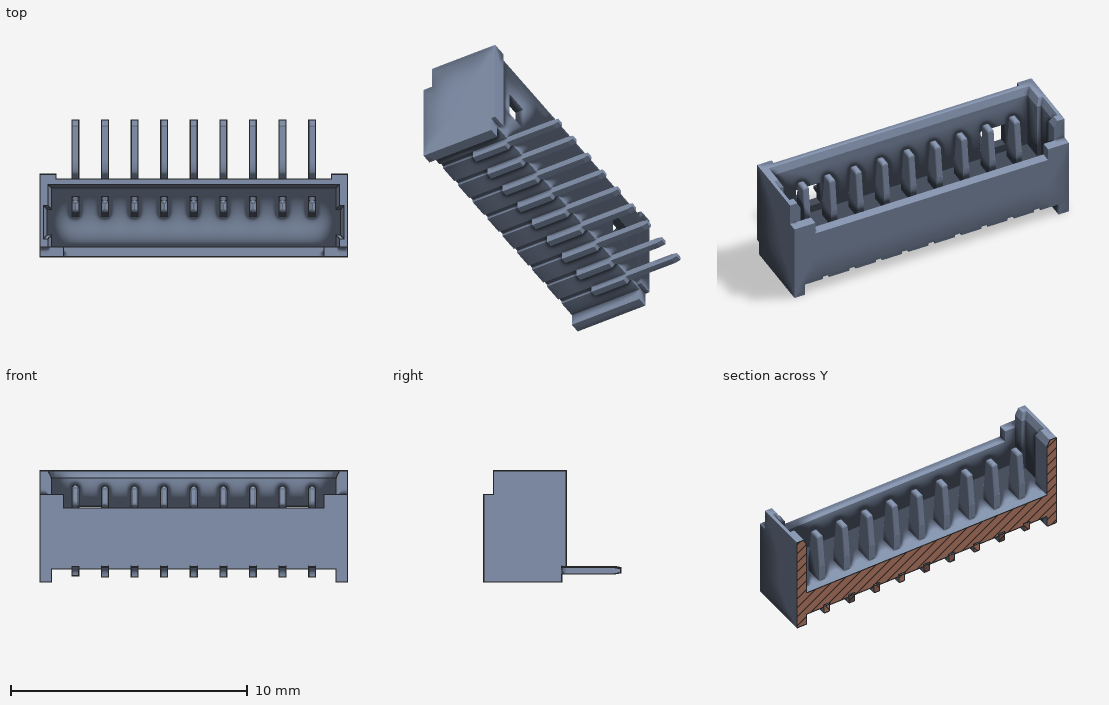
import cadquery as cq

LENGTH = 13.0
HEIGHT = 4.7
BODY_DEPTH = 3.3
END_WALL = 0.5
FRONT_WALL = 0.42
BACK_WALL = 0.39
FLOOR_TOP = 1.74
UNDERSIDE = 0.55

LIP_HEIGHT = 3.13
CORNER_HEIGHT = 3.7
CORNER_WIDTH = 0.99

RIB_WIDTH = 0.69
RIB_DEPTH = 0.2

KEYWAY_DEPTH = 0.2
KEYWAY_FRONT = 0.92
KEYWAY_BACK = 2.02
LEAD_IN_WIDTH = 0.15
LEAD_IN_HEIGHT = 0.31

WINDOW_WIDTH = 1.17
WINDOW_BOTTOM = 2.1
WINDOW_TOP = 3.2

PIN_COUNT = 9
PITCH = 1.25
PIN_WIDTH = 0.3
FIRST_PIN_LIFT = 0.05

BLADE_FRONT = 1.7
BLADE_BACK = 2.56
BLADE_SHOULDER = 2.52
BLADE_TOP = 4.05
BLADE_TAPER = 0.18
BLADE_EDGE_RADIUS = 0.05
BLADE_TIP_RADIUS = 0.14

TAIL_END = 5.8
TAIL_TOP = 0.61
TAIL_BOTTOM = 0.34
TAIL_TIP_LENGTH = 0.27
TAIL_TIP_TAPER = 0.05

FOOT_BOTTOM = 0.21
FOOT_TOE = 0.08
FOOT_SLOPE = 0.1

SLOT_ROOF = TAIL_TOP + FIRST_PIN_LIFT
PIN_XS = [(i - (PIN_COUNT - 1) / 2) * PITCH for i in range(PIN_COUNT)]


def block(x_min, x_max, y_min, y_max, z_min, z_max):
    """Box given by its limits along each axis."""
    size = (x_max - x_min, y_max - y_min, z_max - z_min)
    return cq.Workplane("XY").box(*size, centered=False).translate((x_min, y_min, z_min))


def cavity_outline(spread):
    """Plan of the cavity with its end keyways, pushed outward by `spread` on every side."""
    wall_x = LENGTH / 2 - END_WALL + spread
    key_x = wall_x + KEYWAY_DEPTH
    front = FRONT_WALL - spread
    back = BODY_DEPTH - BACK_WALL + spread
    key_front = KEYWAY_FRONT - spread
    key_back = KEYWAY_BACK + spread
    right_side = [
        (wall_x, front),
        (wall_x, key_front),
        (key_x, key_front),
        (key_x, key_back),
        (wall_x, key_back),
        (wall_x, back),
    ]
    left_side = [(-x, y) for x, y in reversed(right_side)]
    return right_side + left_side


def make_cavity():
    chamfer_start = HEIGHT - LEAD_IN_HEIGHT
    well = (
        cq.Workplane("XY", origin=(0, 0, FLOOR_TOP))
        .polyline(cavity_outline(0)).close()
        .extrude(HEIGHT - FLOOR_TOP)
    )
    lead_in = (
        cq.Workplane("XY", origin=(0, 0, chamfer_start))
        .polyline(cavity_outline(0)).close()
        .workplane(offset=LEAD_IN_HEIGHT)
        .polyline(cavity_outline(LEAD_IN_WIDTH)).close()
        .loft(ruled=True)
    )
    return well.union(lead_in)


def make_housing():
    half = LENGTH / 2
    housing = block(-half, half, 0, BODY_DEPTH, 0, HEIGHT)

    for rib_x in (-half, half - RIB_WIDTH):
        rib = block(rib_x, rib_x + RIB_WIDTH, BODY_DEPTH, BODY_DEPTH + RIB_DEPTH, SLOT_ROOF, HEIGHT)
        housing = housing.union(rib)

    lip_end = half - CORNER_WIDTH
    housing = housing.cut(block(-half, half, 0, FRONT_WALL, CORNER_HEIGHT, HEIGHT))
    housing = housing.cut(block(-lip_end, lip_end, 0, FRONT_WALL, LIP_HEIGHT, CORNER_HEIGHT))

    housing = housing.cut(make_cavity())

    foot_x = half - END_WALL
    housing = housing.cut(block(-foot_x, foot_x, 0, BODY_DEPTH, 0, UNDERSIDE))

    window_x = PIN_XS[-1] - PITCH / 2
    for centre in (-window_x, window_x):
        left = centre - WINDOW_WIDTH / 2
        window = block(
            left, left + WINDOW_WIDTH,
            BODY_DEPTH - BACK_WALL, BODY_DEPTH,
            WINDOW_BOTTOM, WINDOW_TOP,
        )
        housing = housing.cut(window)

    for pin_x in PIN_XS:
        left = pin_x - PIN_WIDTH / 2
        right = pin_x + PIN_WIDTH / 2
        housing = housing.cut(block(left, right, 0, BODY_DEPTH, UNDERSIDE, SLOT_ROOF))
        housing = housing.cut(block(left, right, BLADE_FRONT, BLADE_BACK, SLOT_ROOF, FLOOR_TOP))
    return housing


def make_blade_tip():
    """Tapered upper part of a blade, with rounded long edges and a rounded end."""
    middle = (BLADE_FRONT + BLADE_BACK) / 2
    base_depth = BLADE_BACK - BLADE_FRONT
    return (
        cq.Workplane("XY", origin=(0, middle, BLADE_SHOULDER))
        .rect(PIN_WIDTH, base_depth)
        .workplane(offset=BLADE_TOP - BLADE_SHOULDER)
        .rect(PIN_WIDTH, base_depth - 2 * BLADE_TAPER)
        .loft(ruled=True)
        .faces(">Z").edges().fillet(BLADE_TIP_RADIUS)
        .faces("<X or >X").edges("<Y or >Y").fillet(BLADE_EDGE_RADIUS)
    )


def make_pin():
    """One flat pin centred on X = 0: foot, blade and tail in one profile, plus the blade tip."""
    tip_start = TAIL_END - TAIL_TIP_LENGTH
    profile = [
        (BLADE_FRONT - FOOT_TOE, FOOT_BOTTOM),
        (BODY_DEPTH - FOOT_SLOPE, FOOT_BOTTOM),
        (BODY_DEPTH, TAIL_BOTTOM),
        (tip_start, TAIL_BOTTOM),
        (TAIL_END, TAIL_BOTTOM + TAIL_TIP_TAPER),
        (TAIL_END, TAIL_TOP - TAIL_TIP_TAPER),
        (tip_start, TAIL_TOP),
        (BLADE_BACK, TAIL_TOP),
        (BLADE_BACK, BLADE_SHOULDER),
        (BLADE_FRONT, BLADE_SHOULDER),
        (BLADE_FRONT, TAIL_TOP),
        (BLADE_FRONT - FOOT_TOE, TAIL_TOP),
    ]
    flat = cq.Workplane("YZ").polyline(profile).close().extrude(PIN_WIDTH / 2, both=True)
    return cq.Workplane(flat.union(make_blade_tip()).solids().val())


housing = make_housing()

pin = make_pin()
pins = []
for index, pin_x in enumerate(PIN_XS):
    lift = FIRST_PIN_LIFT if index == 0 else 0
    pins.append(pin.translate((pin_x, 0, lift)).val())

result = cq.Compound.makeCompound([housing.val(), *pins])